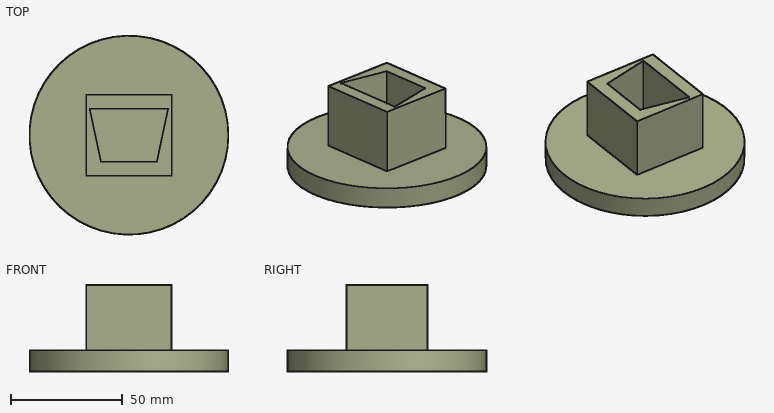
import cadquery as cq

flange_diameter = 88.9
flange_thickness = 9.525

socket_back_width = 35.0
socket_front_width = 25.0
socket_length = 23.5

total_height = 38.73
post_height = total_height - flange_thickness
post_width = 38.1
front_and_back_wall = 6.35
post_depth = socket_length + 2 * front_and_back_wall

socket_depth = post_height


def make_flange():
    return cq.Workplane("XY").circle(flange_diameter / 2).extrude(flange_thickness)


def make_post():
    return (
        cq.Workplane("XY")
        .workplane(offset=flange_thickness)
        .rect(post_width, post_depth)
        .extrude(post_height)
    )


def make_socket():
    outline = [
        (-socket_back_width / 2, socket_length / 2),
        (socket_back_width / 2, socket_length / 2),
        (socket_front_width / 2, -socket_length / 2),
        (-socket_front_width / 2, -socket_length / 2),
    ]
    return (
        cq.Workplane("XY")
        .workplane(offset=total_height - socket_depth)
        .polyline(outline)
        .close()
        .extrude(socket_depth)
    )


result = make_flange().union(make_post()).cut(make_socket())